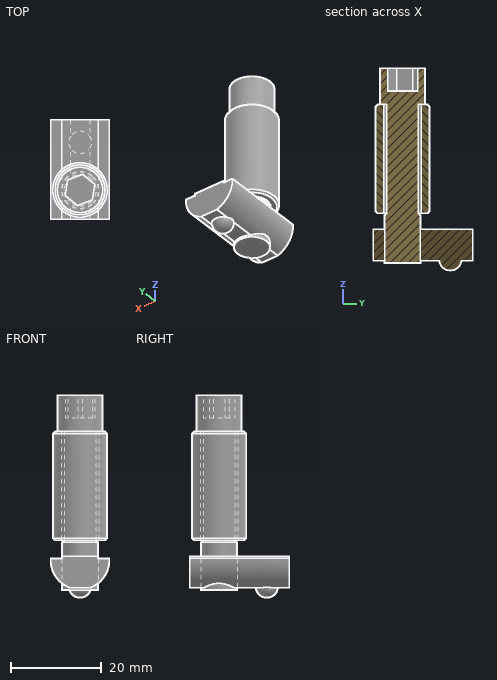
import cadquery as cq
import math


head_diameter = 10.0
head_height = 8.0
shank_diameter = 7.0
thread_diameter = 8.0
socket_corner_diameter = 7.0
socket_depth = 5.0
socket_angle = 21.0
bolt_bottom = 1.7

sleeve_diameter = 12.0
sleeve_bore = 8.2
sleeve_length = 24.0
sleeve_chamfer = 0.5

nut_width = 13.0
nut_length = 22.0
nut_height = 7.0
nut_bottom = 2.2
rib_width = 8.05
rib_height = 0.5
shoulder_above_center = 0.4
bolt_to_front = 6.5
ball_diameter = 5.0
ball_to_back = 4.95

overall_height = 44.7
sleeve_top = overall_height - head_height
sleeve_bottom = sleeve_top - sleeve_length
thread_chamfer = (thread_diameter - shank_diameter) / 2
nut_top = nut_bottom + nut_height
nut_front = -bolt_to_front
nut_back = nut_front + nut_length


def cylinder(diameter, bottom, top):
    """Cylinder on the bolt axis between two heights."""
    return cq.Workplane("XY").workplane(offset=bottom).circle(diameter / 2).extrude(top - bottom)


def make_bolt():
    """Socket head bolt with a plain shank and a wider threaded end."""
    head = cylinder(head_diameter, sleeve_top, overall_height)
    socket = (
        cq.Workplane("XY")
        .workplane(offset=overall_height - socket_depth)
        .transformed(rotate=(0, 0, socket_angle))
        .polygon(6, socket_corner_diameter)
        .extrude(socket_depth)
    )
    shank = cylinder(shank_diameter, bolt_bottom, sleeve_top)
    thread = cylinder(thread_diameter, bolt_bottom, sleeve_bottom).faces(">Z").chamfer(thread_chamfer)
    return head.cut(socket).union(shank).union(thread)


def make_sleeve():
    """Tube under the bolt head, chamfered around both outer ends."""
    tube = cylinder(sleeve_diameter, sleeve_bottom, sleeve_top).faces("<Z or >Z").chamfer(sleeve_chamfer)
    return tube.cut(cylinder(sleeve_bore, sleeve_bottom, sleeve_top))


def make_nut():
    """Slot nut with a raised rib, a round underside and a locating ball."""
    bar_radius = nut_width / 2
    half_rib = rib_width / 2
    shoulder = nut_top - rib_height
    bar_center = shoulder - shoulder_above_center
    flat_depth = bar_center - nut_bottom
    half_shoulder = math.sqrt(bar_radius**2 - shoulder_above_center**2)
    half_flat = math.sqrt(bar_radius**2 - flat_depth**2)

    body = (
        cq.Workplane("XZ", origin=(0, nut_front, 0))
        .moveTo(-half_rib, nut_top)
        .lineTo(half_rib, nut_top)
        .lineTo(half_rib, shoulder)
        .lineTo(half_shoulder, shoulder)
        .threePointArc((bar_radius, bar_center), (half_flat, nut_bottom))
        .lineTo(-half_flat, nut_bottom)
        .threePointArc((-bar_radius, bar_center), (-half_shoulder, shoulder))
        .lineTo(-half_rib, shoulder)
        .close()
        .extrude(-nut_length)
    )
    ball_center = (0, nut_back - ball_to_back, ball_diameter / 2)
    ball = cq.Workplane("XY").sphere(ball_diameter / 2).translate(ball_center)
    return body.union(ball).cut(cylinder(thread_diameter, nut_bottom, nut_top))


bolt = make_bolt()
sleeve = make_sleeve()
nut = make_nut()

result = cq.Compound.makeCompound([*bolt.solids().vals(), *sleeve.solids().vals(), *nut.solids().vals()])